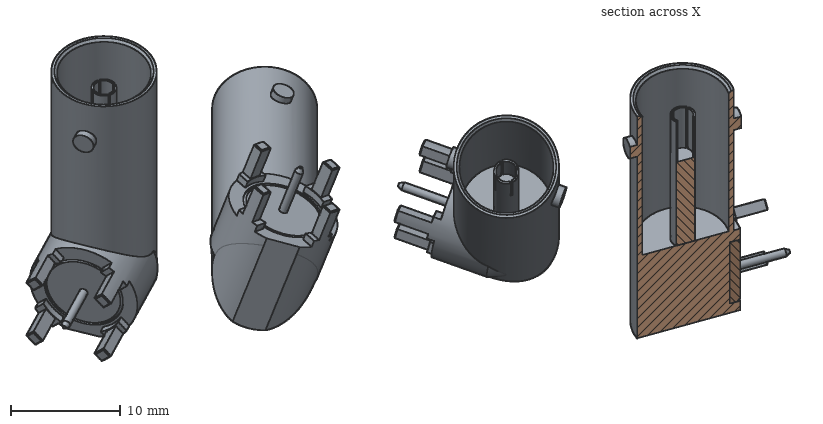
import cadquery as cq
import math


BARREL_RADIUS = 4.83
BARREL_TOP = 22.64
BORE_RADIUS = 4.3
MOUTH_CHAMFER = 0.25

STUD_RADIUS = 1.0
STUD_REACH = 5.5
STUD_BELOW_MOUTH = 4.28
STUD_HEIGHT = BARREL_TOP - STUD_BELOW_MOUTH

ELBOW_RADIUS = 5.245
ELBOW_FACE = 5.4
ELBOW_BOTTOM = 5.0
CONE_LENGTH = 1.8
CONE_TAPER = 23.2
BORE_FLOOR = ELBOW_RADIUS

FOOT_ANGLES = [45, 135, 225, 315]
PAD_INNER_RADIUS = 4.13
PAD_WIDTH = 2.45
PAD_HEIGHT = 0.72
LEG_INNER_FLAT = 4.18
LEG_WIDTH = 1.28
LEG_END = 9.45
LEG_CHAMFER = 0.1

PLUG_RADIUS = 3.84
PLUG_CHAMFER = 0.25
PLUG_THICKNESS = 1.0
PLUG_BACK = PLUG_THICKNESS - ELBOW_FACE

PIN_RADIUS = 0.4
PIN_TIP = 10.52
PIN_TIP_LENGTH = 0.45
PIN_TIP_RADIUS = 0.17

CONTACT_RADIUS = 1.15
CONTACT_BORE_RADIUS = 0.95
CONTACT_BELOW_MOUTH = 2.0
CONTACT_TOP = BARREL_TOP - CONTACT_BELOW_MOUTH
CONTACT_SLOT_WIDTH = 0.2
CONTACT_SLOT_DEPTH = 5.0
CONTACT_SLOT_ANGLES = [45, 135]


def cylinder_along_y(radius, start, end):
    """Cylinder on the elbow axis from y = start to y = end (end above start)."""
    return cq.Workplane("XZ", origin=(0, end, 0)).circle(radius).extrude(end - start)


def make_elbow():
    heel_outline = (
        cq.Workplane("XZ", origin=(0, BARREL_RADIUS, 0))
        .moveTo(-ELBOW_RADIUS, BARREL_TOP)
        .lineTo(-ELBOW_RADIUS, 0)
        .threePointArc((0, -ELBOW_RADIUS), (ELBOW_RADIUS, 0))
        .lineTo(ELBOW_RADIUS, BARREL_TOP)
        .close()
        .extrude(2 * BARREL_RADIUS)
    )
    barrel_base = cq.Plane(origin=(0, 0, -ELBOW_RADIUS), xDir=(0, 1, 0), normal=(0, 0, 1))
    barrel = (
        cq.Workplane(barrel_base)
        .circle(BARREL_RADIUS)
        .extrude(BARREL_TOP + ELBOW_RADIUS)
        .intersect(heel_outline)
    )

    cone_end_radius = ELBOW_RADIUS - CONE_LENGTH * math.tan(math.radians(CONE_TAPER))
    arm = (
        cq.Workplane("YZ")
        .moveTo(-LEG_END, 0)
        .lineTo(-LEG_END, ELBOW_RADIUS)
        .lineTo(0, ELBOW_RADIUS)
        .lineTo(CONE_LENGTH, cone_end_radius)
        .lineTo(CONE_LENGTH, 0)
        .close()
        .revolve(360, (0, 0, 0), (1, 0, 0))
    )

    body = barrel.union(arm)
    below = (
        cq.Workplane("XY", origin=(0, 0, -ELBOW_BOTTOM))
        .rect(4 * ELBOW_RADIUS, 4 * ELBOW_RADIUS)
        .extrude(-ELBOW_RADIUS)
    )
    return body.cut(below)


def make_studs():
    return cylinder_along_y(STUD_RADIUS, -STUD_REACH, STUD_REACH).translate((0, 0, STUD_HEIGHT))


def foot_bar(angle, inner, width, start, end):
    """Radial bar at one foot angle, from the inner distance out past the rim, y = start to y = end."""
    return (
        cq.Workplane("XY")
        .box(ELBOW_RADIUS, end - start, width, centered=(False, False, True))
        .translate((inner, start, 0))
        .rotate((0, 0, 0), (0, 1, 0), angle)
    )


def make_foot_waste():
    """Everything in front of the elbow face except the pads and their legs."""
    pad_end = ELBOW_FACE + PAD_HEIGHT
    pad_waste = cylinder_along_y(2 * ELBOW_RADIUS, -pad_end, -ELBOW_FACE)
    leg_waste = cylinder_along_y(2 * ELBOW_RADIUS, -LEG_END, -pad_end)
    for angle in FOOT_ANGLES:
        pad_waste = pad_waste.cut(foot_bar(angle, 0, PAD_WIDTH, -pad_end, -ELBOW_FACE))
        leg_waste = leg_waste.cut(foot_bar(angle, LEG_INNER_FLAT, LEG_WIDTH, -LEG_END, -pad_end))
    pad_ring_hole = cylinder_along_y(PAD_INNER_RADIUS, -pad_end, -ELBOW_FACE)
    return pad_waste.union(pad_ring_hole).union(leg_waste)


def make_housing():
    housing = make_elbow().cut(make_foot_waste())
    housing = housing.faces("<Y").chamfer(LEG_CHAMFER)
    housing = housing.union(make_studs())

    bore_depth = BARREL_TOP - BORE_FLOOR
    bore = cq.Workplane("XY", origin=(0, 0, BORE_FLOOR)).circle(BORE_RADIUS).extrude(bore_depth)
    mouth = (
        cq.Workplane("XY", origin=(0, 0, BARREL_TOP))
        .circle(BORE_RADIUS + MOUTH_CHAMFER)
        .extrude(-MOUTH_CHAMFER, taper=45)
    )
    plug_seat = cylinder_along_y(PLUG_RADIUS, -ELBOW_FACE, PLUG_BACK)
    return housing.cut(bore).cut(mouth).cut(plug_seat)


def make_plug():
    plug = cylinder_along_y(PLUG_RADIUS, -ELBOW_FACE, PLUG_BACK)
    plug = plug.faces("<Y").chamfer(PLUG_CHAMFER)
    return plug.cut(cylinder_along_y(PIN_RADIUS, -ELBOW_FACE, PLUG_BACK))


def make_pin():
    """Straight pin, starting at the inner face of the plug, with a coned blunt tip."""
    shank_end = PIN_TIP_LENGTH - PIN_TIP
    return (
        cq.Workplane("XY")
        .moveTo(0, PLUG_BACK)
        .lineTo(PIN_RADIUS, PLUG_BACK)
        .lineTo(PIN_RADIUS, shank_end)
        .lineTo(PIN_TIP_RADIUS, -PIN_TIP)
        .lineTo(0, -PIN_TIP)
        .close()
        .revolve(360, (0, 0, 0), (0, 1, 0))
    )


def make_contact():
    """Hollow post standing on the bore floor, slotted down from its top."""
    contact = (
        cq.Workplane("XY", origin=(0, 0, BORE_FLOOR))
        .circle(CONTACT_RADIUS)
        .extrude(CONTACT_TOP - BORE_FLOOR)
    )
    contact = contact.faces(">Z").workplane().hole(2 * CONTACT_BORE_RADIUS, CONTACT_SLOT_DEPTH)
    for angle in CONTACT_SLOT_ANGLES:
        slot = (
            cq.Workplane("XY", origin=(0, 0, CONTACT_TOP))
            .rect(3 * CONTACT_RADIUS, CONTACT_SLOT_WIDTH)
            .extrude(-CONTACT_SLOT_DEPTH)
            .rotate((0, 0, 0), (0, 0, 1), angle)
        )
        contact = contact.cut(slot)
    return contact


housing = make_housing()
plug = make_plug()
pin = make_pin()
contact = make_contact()

result = cq.Compound.makeCompound([housing.val(), plug.val(), pin.val(), contact.val()])